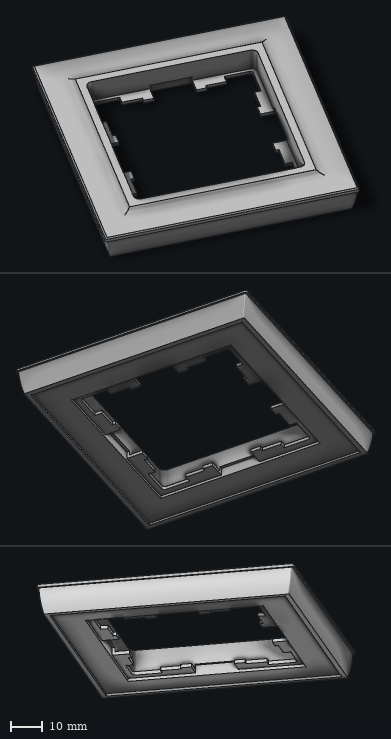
import cadquery as cq
import math

width = 84.1
height = 10.9

skirt_base_half = 40.1
skirt_mid_half = 41.0
skirt_top_half = 41.5
skirt_corner_radius = 0.4

lip_bottom_z = 8.5
face_z = 9.8
lip_lean = 0.2
lip_bevel_drop = 0.3
lip_bevel_run = 0.5
lip_corner_radius = 0.8

border_foot_half = 33.6
border_top_half = 30.9

window_half = 28.25
window_bottom_half = 27.9
window_corner_radius = 1.7

back_z = 0.8
rim_width = 1.7

ledge_thickness = 1.2
ledge_bottom_z = 1.85
ledge_top_z = ledge_bottom_z + ledge_thickness
ledge_half_x = 26.9
ledge_half_y_left = 26.6
ledge_half_y_right = 26.9
ledge_corner_radius = 1.0
tab_half = 24.5
tab_tip_half = 23.4
tab_outer_end = 17.3
tab_step = 10.5
tab_inner_end = 7.0

pocket_depth = 1.1
pocket_top_z = 4.45
pocket_half = window_bottom_half + pocket_depth


def square_prism(half, bottom, top, radius=0.0):
    """Upright square block centred on the Z axis, with optional rounded corners."""
    block = cq.Workplane("XY").workplane(offset=bottom).rect(2 * half, 2 * half).extrude(top - bottom)
    return block.edges("|Z").fillet(radius) if radius else block


def tapered_prism(bottom_half, top_half, bottom, top, radius):
    """Square block with rounded corners whose sides lean evenly from bottom to top."""
    rise = top - bottom
    taper = math.degrees(math.atan2(bottom_half - top_half, rise))
    sketch = cq.Sketch().rect(2 * bottom_half, 2 * bottom_half).vertices().fillet(radius)
    return cq.Workplane("XY").workplane(offset=bottom).placeSketch(sketch).extrude(rise, taper=taper)


def mitred_block(outline):
    """Extrude a profile along Y and along X and keep the common square block."""
    along_y = outline.extrude(width, both=True)
    along_x = along_y.rotate((0, 0, 0), (0, 0, 1), 90)
    return along_y.intersect(along_x)


def skirt():
    mid_z = lip_bottom_z / 2
    outline = (
        cq.Workplane("XZ")
        .moveTo(-skirt_base_half, 0)
        .lineTo(skirt_base_half, 0)
        .threePointArc((skirt_mid_half, mid_z), (skirt_top_half, lip_bottom_z))
        .lineTo(-skirt_top_half, lip_bottom_z)
        .threePointArc((-skirt_mid_half, mid_z), (-skirt_base_half, 0))
        .close()
    )
    return mitred_block(outline).edges("not(#Z)").fillet(skirt_corner_radius)


def lip():
    block = tapered_prism(width / 2, width / 2 - lip_lean, lip_bottom_z, face_z, lip_corner_radius)
    return block.faces(">Z").chamfer(lip_bevel_drop, lip_bevel_run)


def border():
    rise = height - face_z
    run = border_foot_half - border_top_half
    flank_radius = (run**2 + rise**2) / (2 * rise)
    outline = (
        cq.Workplane("XZ")
        .moveTo(-border_foot_half, face_z)
        .lineTo(border_foot_half, face_z)
        .radiusArc((border_top_half, height), flank_radius)
        .lineTo(-border_top_half, height)
        .radiusArc((-border_foot_half, face_z), flank_radius)
        .close()
    )
    return mitred_block(outline)


def window():
    return tapered_prism(window_bottom_half, window_half, 0, height, window_corner_radius)


def back_recess():
    """Recess inside the outer rim, with a rebate around the window up to the ledge."""
    recess = square_prism(skirt_base_half - rim_width, 0, back_z)
    return recess.union(square_prism(pocket_half, 0, ledge_bottom_z))


def wall_pockets():
    size = 2 * pocket_half
    bar = cq.Workplane("XY").box(size, 2 * tab_inner_end, pocket_top_z, centered=(True, True, False))
    return bar.union(bar.rotate((0, 0, 0), (0, 0, 1), 90))


def ledge_opening_half(side, half_y):
    """Half of the opening inside the ledge; side is -1 for left and 1 for right."""
    block = (
        cq.Workplane("XY")
        .workplane(offset=ledge_bottom_z)
        .center(side * ledge_half_x / 2, 0)
        .rect(ledge_half_x, 2 * half_y)
        .extrude(ledge_thickness)
    )
    outer_edges = block.faces("<X" if side < 0 else ">X").edges("|Z")
    return outer_edges.fillet(ledge_corner_radius)


def corner_ledges():
    """Ledge ring with tabs, seated in the window wall and broken between the tabs."""
    ring = square_prism(window_half, ledge_bottom_z, ledge_top_z, window_corner_radius)
    ring = ring.cut(ledge_opening_half(-1, ledge_half_y_left))
    ring = ring.cut(ledge_opening_half(1, ledge_half_y_right))
    tab = (
        cq.Workplane("XY")
        .workplane(offset=ledge_bottom_z)
        .moveTo(window_bottom_half, tab_inner_end)
        .lineTo(tab_tip_half, tab_inner_end)
        .lineTo(tab_tip_half, tab_step)
        .lineTo(tab_half, tab_step)
        .lineTo(tab_half, tab_outer_end)
        .lineTo(window_bottom_half, tab_outer_end)
        .close()
        .extrude(ledge_thickness)
    )
    tab_pair = tab.union(tab.mirror("XZ"))
    for side in range(4):
        ring = ring.union(tab_pair.rotate((0, 0, 0), (0, 0, 1), 90 * side))
    return ring


frame = skirt().union(lip()).union(border()).cut(window()).cut(back_recess())
result = frame.union(corner_ledges()).cut(wall_pockets())